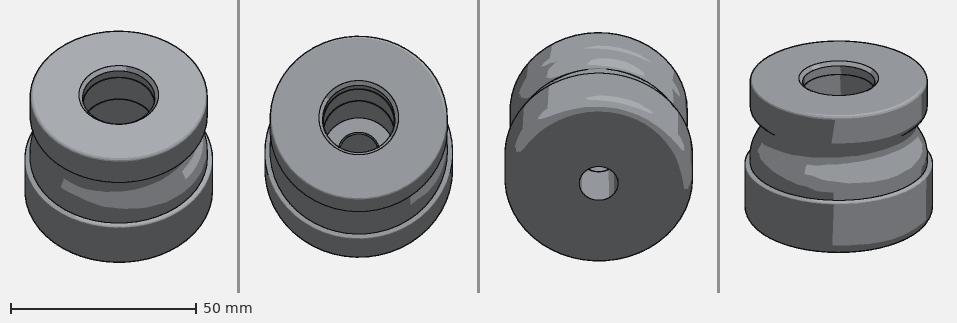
import cadquery as cq
import math

BASE_RADIUS = 25.4
BASE_HEIGHT = 16.15
LEDGE_DROP = 0.25
BASE_TOP_FILLET = 0.5
BASE_BOTTOM_FILLET = 3.2
BASE_HOLE_RADIUS = 5.25
BASE_HOLE_CHAMFER = 0.35

TOTAL_HEIGHT = 41.25
SPOOL_RADIUS = 24.0
RIM_TOP_FILLET = 1.0
RIM_BOTTOM_Z = 33.15
RIM_BOTTOM_FILLET = 2.0
NECK_RADIUS = 20.9
NECK_ARC = 5.0
SHOULDER_Z = 18.45
SHOULDER_ARC = 8.05
FLANK_ANGLE = math.radians(30)

BORE_RADIUS = 9.75
BORE_CHAMFER = 1.0
LAND_RADIUS = 9.6
LAND_TOP_DEPTH = 3.55
LAND_BOTTOM_DEPTH = 12.25


def point_on_arc(center, radius, angle):
    """Point (r, z) at the given angle from the outward radial direction."""
    return (center[0] + radius * math.cos(angle), center[1] + radius * math.sin(angle))


def cylinder(radius, bottom, top):
    return cq.Workplane("XY").workplane(offset=bottom).circle(radius).extrude(top - bottom)


def make_base():
    """Disc with a flat seat, a sloping ledge around it and a through hole."""
    ledge_outer_z = BASE_HEIGHT - LEDGE_DROP
    base = (
        cq.Workplane("XZ")
        .lineTo(BASE_RADIUS, 0)
        .lineTo(BASE_RADIUS, ledge_outer_z)
        .lineTo(SPOOL_RADIUS, BASE_HEIGHT)
        .lineTo(0, BASE_HEIGHT)
        .close()
        .revolve(360, (0, 0, 0), (0, 1, 0))
    )
    widest_edges = cq.selectors.RadiusNthSelector(-1)
    base = base.edges("%CIRCLE").edges(widest_edges).edges(">Z").fillet(BASE_TOP_FILLET)
    base = base.faces("<Z").edges().fillet(BASE_BOTTOM_FILLET)
    base = base.cut(cylinder(BASE_HOLE_RADIUS, 0, BASE_HEIGHT))
    hole_rim = cq.selectors.RadiusNthSelector(0)
    return base.faces(">Z").edges(hole_rim).chamfer(BASE_HOLE_CHAMFER)


def make_spool_blank():
    """Solid spool, revolved from a half profile of tangent arcs and lines."""
    rim_center = (SPOOL_RADIUS - RIM_BOTTOM_FILLET, RIM_BOTTOM_Z)
    shoulder_center = (SPOOL_RADIUS - SHOULDER_ARC, SHOULDER_Z)

    neck_center_r = NECK_RADIUS + NECK_ARC
    center_distance = NECK_ARC + RIM_BOTTOM_FILLET
    center_drop = math.sqrt(center_distance**2 - (neck_center_r - rim_center[0]) ** 2)
    neck_center = (neck_center_r, RIM_BOTTOM_Z - center_drop)
    rim_angle = -math.asin(center_drop / center_distance)

    shoulder_mid = point_on_arc(shoulder_center, SHOULDER_ARC, FLANK_ANGLE / 2)
    flank_bottom = point_on_arc(shoulder_center, SHOULDER_ARC, FLANK_ANGLE)
    flank_top = point_on_arc(neck_center, NECK_ARC, math.pi + FLANK_ANGLE)
    neck_mid = (NECK_RADIUS, neck_center[1])
    neck_top = point_on_arc(rim_center, RIM_BOTTOM_FILLET, rim_angle)
    rim_mid = point_on_arc(rim_center, RIM_BOTTOM_FILLET, rim_angle / 2)

    blank = (
        cq.Workplane("XZ")
        .moveTo(0, BASE_HEIGHT)
        .lineTo(SPOOL_RADIUS, BASE_HEIGHT)
        .lineTo(SPOOL_RADIUS, SHOULDER_Z)
        .threePointArc(shoulder_mid, flank_bottom)
        .lineTo(*flank_top)
        .threePointArc(neck_mid, neck_top)
        .threePointArc(rim_mid, (SPOOL_RADIUS, RIM_BOTTOM_Z))
        .lineTo(SPOOL_RADIUS, TOTAL_HEIGHT)
        .lineTo(0, TOTAL_HEIGHT)
        .close()
        .revolve(360, (0, 0, 0), (0, 1, 0))
    )
    return blank.faces(">Z").edges().fillet(RIM_TOP_FILLET)


def make_bore():
    """Stepped bore through the spool, with a chamfered mouth."""
    land_top = TOTAL_HEIGHT - LAND_TOP_DEPTH
    land_bottom = TOTAL_HEIGHT - LAND_BOTTOM_DEPTH
    mouth = (
        cq.Workplane("XY")
        .workplane(offset=TOTAL_HEIGHT)
        .circle(BORE_RADIUS + BORE_CHAMFER)
        .extrude(-BORE_CHAMFER, taper=45)
    )
    upper = cylinder(BORE_RADIUS, land_top, TOTAL_HEIGHT)
    land = cylinder(LAND_RADIUS, land_bottom, land_top)
    lower = cylinder(BORE_RADIUS, BASE_HEIGHT, land_bottom)
    return mouth.union(upper).union(land).union(lower)


base = make_base()
spool = make_spool_blank().cut(make_bore())

result = cq.Compound.makeCompound([base.val(), spool.val()])